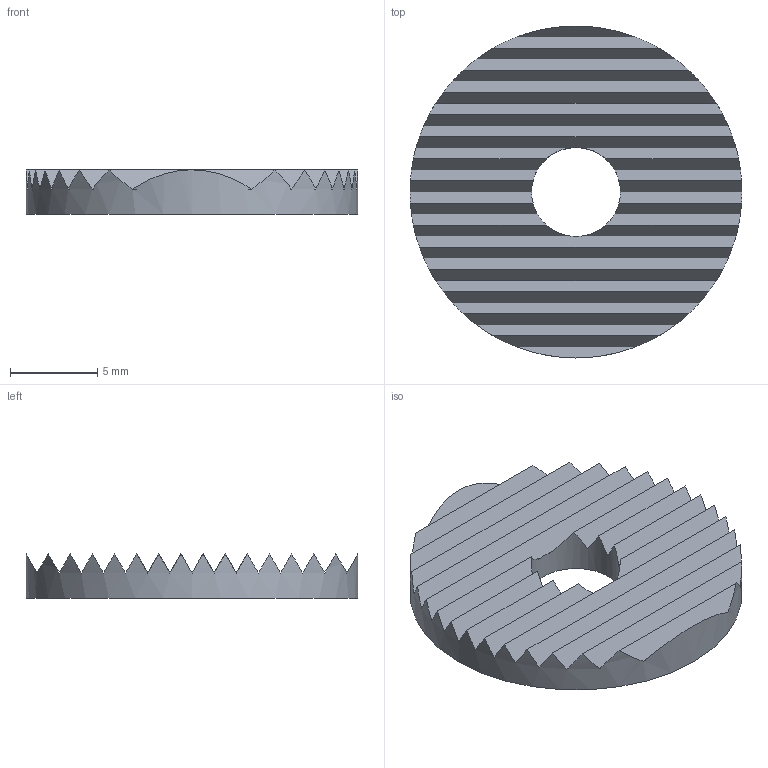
import cadquery as cq
import math

outer_diameter = 19.05
bore_diameter = 5.11
thickness = 2.54
groove_count = 15
groove_angle = 60.0

pitch = outer_diameter / groove_count
groove_depth = pitch / 2 / math.tan(math.radians(groove_angle / 2))
root_height = thickness - groove_depth


def washer_blank():
    """Plain round washer with its base on Z = 0."""
    return (
        cq.Workplane("XY")
        .circle(outer_diameter / 2)
        .circle(bore_diameter / 2)
        .extrude(thickness)
    )


def serrated_bar():
    """Bar along X whose top is a row of sharp teeth, crests at both ends of the row."""
    half_width = outer_diameter / 2
    outline = [(-half_width, 0), (-half_width, thickness)]
    for index in range(groove_count):
        groove_start = -half_width + index * pitch
        outline.append((groove_start + pitch / 2, root_height))
        outline.append((groove_start + pitch, thickness))
    outline.append((half_width, 0))
    return cq.Workplane("YZ").polyline(outline).close().extrude(half_width, both=True)


result = washer_blank().intersect(serrated_bar())